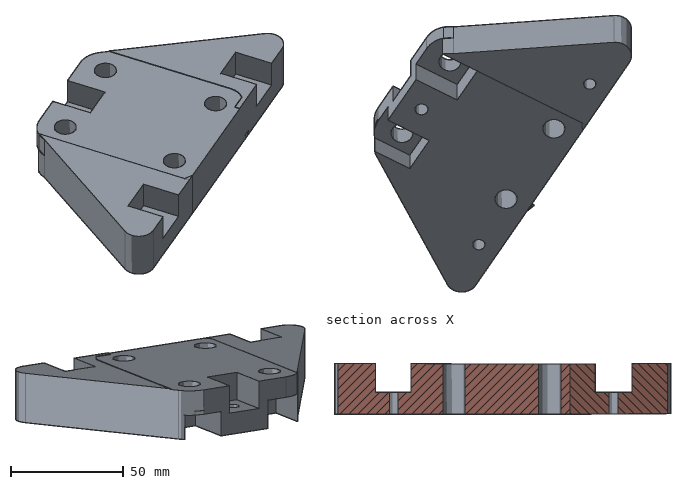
import cadquery as cq
import math

tip_to_tip = 150.0
half_span = tip_to_tip / 2
width = 77.7
plate_top = 22.5
wing_rise = 0.3
overshoot = 1.5

tip_radius = 7.2
tip_x = width - tip_radius
tip_y = half_span - tip_radius
slope_angle = math.radians(34.3)
tip_tangent_x = tip_x - tip_radius * math.sin(slope_angle)
tip_tangent_y = tip_y + tip_radius * math.cos(slope_angle)

left_edge_rear_y = 21.5
left_edge_front_y = -21.8
rear_corner_radius = 12.2
front_corner_radius = 11.5
front_corner_end_angle = math.radians(250)

joint_y = -30.0
joint_bevel_x = 2.3
joint_bevel_y = 3.6

low_area_rear_y = 33.6
low_area_arc_start_x = 68.3
low_area_arc_end = (75.3, 30.5)
low_area_arc_radius = 9.3
low_area_step_y = 23.1

bolt_diameter = 9.8
bolt_points = [(12.5, 21.3), (66.5, 21.8), (12.5, -21.0), (66.2, -21.0)]

notch_floor = 9.9
rear_notch_x = (60.0, width + overshoot)
rear_notch_y = (41.0, 56.7)
rear_screw_point = (68.1, 48.6)
left_notch_x = (-overshoot, 18.5)
left_notch_y = (-7.5, 8.0)
left_screw_point = (10.0, 0.0)
front_notch_x = (60.5, width + overshoot)
front_notch_y = (-57.6, -41.3)
front_screw_point = (68.1, -49.4)
screw_diameter = 5.4
left_screw_diameter = 5.7

pocket_depth = 21.3
rear_pocket_y = (12.5, 29.5)
rear_pocket_height = 11.3
front_pocket_y = (-12.3, joint_y)
front_pocket_height = 13.0

rear_flat_end_y = 25.8
rear_flat_top = front_pocket_height

chip_x = (80.6, 81.6)
chip_y = (22.5, 26.3)
chip_z = 8.1
chip_thickness = 0.2


def box_between(x_range, y_range, z_range):
    """Box that fills the given X, Y and Z ranges."""
    x_min, x_max = sorted(x_range)
    y_min, y_max = sorted(y_range)
    z_min, z_max = sorted(z_range)
    size = (x_max - x_min, y_max - y_min, z_max - z_min)
    return cq.Workplane("XY", origin=(x_min, y_min, z_min)).box(*size, centered=False)


def drill(body, point, diameter):
    """Cut a vertical through hole."""
    length = plate_top + wing_rise + 2 * overshoot
    drill_plane = cq.Workplane("XY", origin=(*point, -overshoot))
    return body.cut(drill_plane.circle(diameter / 2).extrude(length))


def cut_notch(body, x_range, y_range, screw_point, diameter):
    """Cut a notch down from the top and the screw hole in its floor."""
    notch = box_between(x_range, y_range, (notch_floor, plate_top + wing_rise + overshoot))
    return drill(body.cut(notch), screw_point, diameter)


def arc_point(radius, center_y, angle):
    """Point on a corner arc that is tangent to the left edge."""
    return (radius * (1 + math.cos(angle)), center_y + radius * math.sin(angle))


def front_corner_point(angle):
    """Point on the front left corner arc."""
    return arc_point(front_corner_radius, left_edge_front_y, angle)


def rear_corner_point(angle):
    """Point on the rear left corner arc."""
    return arc_point(rear_corner_radius, left_edge_rear_y, angle)


def rear_corner_angle(y):
    """Angle at which the rear left corner arc reaches the given Y."""
    return math.pi - math.asin((y - left_edge_rear_y) / rear_corner_radius)


joint_angle = math.pi + math.asin((left_edge_front_y - joint_y) / front_corner_radius)
joint_corner = front_corner_point(joint_angle)
front_corner_end = front_corner_point(front_corner_end_angle)
front_corner_mid = front_corner_point((joint_angle + front_corner_end_angle) / 2)


slope_joint_x = front_corner_end[0] - (joint_y - front_corner_end[1]) / math.tan(slope_angle)


def make_corner_segment(z_bottom, z_top):
    """Thin segment between the front left corner arc and the wing's sloping side."""
    return (
        cq.Workplane("XY", origin=(0, 0, z_bottom))
        .moveTo(*joint_corner)
        .threePointArc(front_corner_mid, front_corner_end)
        .lineTo(slope_joint_x, joint_y)
        .close()
        .extrude(z_top - z_bottom)
    )


def cut_rear_flat(body):
    """Replace a short stretch of the rear left corner arc by its chord."""
    flat_end_angle = rear_corner_angle(rear_flat_end_y)
    flat = (
        cq.Workplane("XY", origin=(0, 0, rear_pocket_height))
        .moveTo(0, left_edge_rear_y)
        .threePointArc(
            rear_corner_point((math.pi + flat_end_angle) / 2), rear_corner_point(flat_end_angle)
        )
        .close()
        .extrude(rear_flat_top - rear_pocket_height)
    )
    return body.cut(flat)


def make_block():
    """Plate and rear wing: one block with a lowered top over the plate."""
    rear_end_angle = math.pi / 2 + slope_angle
    rear_mid = rear_corner_point((math.pi + rear_end_angle) / 2)
    front_edge_mid = front_corner_point((math.pi + front_corner_end_angle) / 2)
    block = (
        cq.Workplane("XY")
        .moveTo(0, left_edge_front_y)
        .lineTo(0, left_edge_rear_y)
        .threePointArc(rear_mid, rear_corner_point(rear_end_angle))
        .lineTo(tip_tangent_x, tip_tangent_y)
        .threePointArc((tip_x, half_span), (width, tip_y))
        .lineTo(width, joint_y + joint_bevel_y)
        .lineTo(width - joint_bevel_x, joint_y)
        .lineTo(slope_joint_x, joint_y)
        .lineTo(*front_corner_end)
        .threePointArc(front_edge_mid, (0, left_edge_front_y))
        .close()
        .extrude(plate_top + wing_rise)
    )

    low_area = (
        cq.Workplane("XY", origin=(0, 0, plate_top))
        .moveTo(-overshoot, -half_span)
        .lineTo(-overshoot, low_area_rear_y)
        .lineTo(low_area_arc_start_x, low_area_rear_y)
        .radiusArc(low_area_arc_end, low_area_arc_radius)
        .lineTo(low_area_arc_end[0], low_area_step_y)
        .lineTo(width + overshoot, low_area_step_y)
        .lineTo(width + overshoot, -half_span)
        .close()
        .extrude(wing_rise + overshoot)
    )
    block = block.cut(low_area)
    block = block.cut(make_corner_segment(0, front_pocket_height))

    pocket_x = (-overshoot, pocket_depth)
    block = block.cut(box_between(pocket_x, rear_pocket_y, (-overshoot, rear_pocket_height)))
    block = block.cut(box_between(pocket_x, front_pocket_y, (-overshoot, front_pocket_height)))
    block = cut_rear_flat(block)

    for point in bolt_points:
        block = drill(block, point, bolt_diameter)
    block = cut_notch(block, rear_notch_x, rear_notch_y, rear_screw_point, screw_diameter)
    return cut_notch(block, left_notch_x, left_notch_y, left_screw_point, left_screw_diameter)


def make_front_wing():
    """Front wing, whose top and bottom rise slightly toward its tip."""
    outline = (
        cq.Workplane("XY")
        .moveTo(*joint_corner)
        .threePointArc(front_corner_mid, front_corner_end)
        .lineTo(tip_tangent_x, -tip_tangent_y)
        .threePointArc((tip_x, -half_span), (width, -tip_y))
        .lineTo(width, joint_y + joint_bevel_y)
        .lineTo(width - joint_bevel_x, joint_y)
        .close()
        .extrude(plate_top + wing_rise)
    )
    inner_y = joint_y + joint_bevel_y
    tilted_slab = (
        cq.Workplane("YZ")
        .moveTo(inner_y, 0)
        .lineTo(joint_y, 0)
        .lineTo(-half_span, wing_rise)
        .lineTo(-half_span, plate_top + wing_rise)
        .lineTo(joint_y, plate_top)
        .lineTo(inner_y, plate_top)
        .close()
        .extrude(width)
    )
    wing = outline.intersect(tilted_slab)
    wing = wing.cut(make_corner_segment(front_pocket_height, plate_top + wing_rise))
    return cut_notch(wing, front_notch_x, front_notch_y, front_screw_point, screw_diameter)


def make_chip():
    """Thin triangular chip, tapering toward the rear."""
    return (
        cq.Workplane("XY", origin=(0, 0, chip_z))
        .moveTo(chip_x[0], chip_y[0])
        .lineTo(chip_x[1], chip_y[0])
        .lineTo(chip_x[0], chip_y[1])
        .close()
        .extrude(chip_thickness)
    )


block = make_block()
front_wing = make_front_wing()
chip = make_chip()

result = cq.Compound.makeCompound([*block.solids().vals(), *front_wing.solids().vals(), chip.val()])